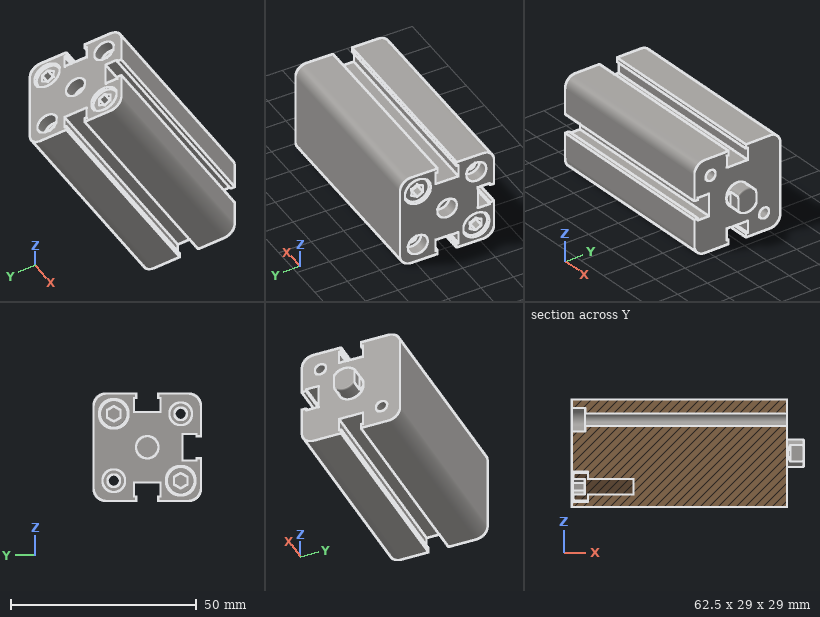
import cadquery as cq
import math

OVERALL_LENGTH = 62.5

HOUSING_LENGTH = 58.0
HOUSING_SIDE = 29.0
CORNER_RADIUS = 3.5

SLOT_OPENING = 5.8
SLOT_INNER_WIDTH = 7.0
SLOT_DEPTH = 5.0
SLOT_LIP = 1.3
SLOT_SIDES = (0, -90, 180)

HOLE_OFFSET = 9.0
CENTRE_BORE_DIAMETER = 6.0
CENTRE_BORE_DEPTH = 4.0
THROUGH_HOLE_DIAMETER = 3.3
COUNTERBORE_DIAMETER = 6.1
COUNTERBORE_DEPTH = 3.6

HEAD_DIAMETER = 7.5
HEAD_HEIGHT = 4.0
HEAD_EDGE_RADIUS = 0.5
HEAD_RECESS = 0.4
HEAD_POCKET_DIAMETER = 8.0
SOCKET_ACROSS_FLATS = 3.55
SOCKET_DEPTH = 3.1
SHANK_DIAMETER = 4.0
SHANK_LENGTH = 12.25

ROD_DIAMETER = 7.5
ROD_PROTRUSION = OVERALL_LENGTH - HOUSING_LENGTH
ROD_INSERTION = 12.25
ROD_TIP_RADIUS = 0.5
ROD_ACROSS_FLATS = 6.0
ROD_FLAT_LENGTH = 3.55

SCREW_PLACES = ((HOLE_OFFSET, HOLE_OFFSET), (-HOLE_OFFSET, -HOLE_OFFSET))
THROUGH_HOLE_PLACES = ((-HOLE_OFFSET, HOLE_OFFSET), (HOLE_OFFSET, -HOLE_OFFSET))


def cylinder(diameter, start, length, y=0, z=0):
    """Cylinder along +X that begins at X = start."""
    return cq.Workplane("YZ", origin=(start, y, z)).circle(diameter / 2).extrude(length)


def sensor_slot(angle):
    """Cutter for one T slot, turned about X from the -Z side."""
    side = -HOUSING_SIDE / 2
    opening = cq.Workplane("XY").box(
        HOUSING_LENGTH, SLOT_OPENING, SLOT_DEPTH, centered=(False, True, False)
    )
    channel = cq.Workplane("XY", origin=(0, 0, SLOT_LIP)).box(
        HOUSING_LENGTH, SLOT_INNER_WIDTH, SLOT_DEPTH - SLOT_LIP, centered=(False, True, False)
    )
    slot = opening.union(channel).translate((0, 0, side))
    return slot.rotate((0, 0, 0), (1, 0, 0), angle)


def make_housing():
    body = (
        cq.Workplane("YZ")
        .rect(HOUSING_SIDE, HOUSING_SIDE)
        .extrude(HOUSING_LENGTH)
        .edges("|X")
        .fillet(CORNER_RADIUS)
    )
    for angle in SLOT_SIDES:
        body = body.cut(sensor_slot(angle))

    body = body.cut(cylinder(CENTRE_BORE_DIAMETER, 0, CENTRE_BORE_DEPTH))
    for y, z in THROUGH_HOLE_PLACES:
        body = body.cut(cylinder(THROUGH_HOLE_DIAMETER, 0, HOUSING_LENGTH, y, z))
        body = body.cut(cylinder(COUNTERBORE_DIAMETER, 0, COUNTERBORE_DEPTH, y, z))

    pocket_depth = HEAD_RECESS + HEAD_HEIGHT
    for y, z in SCREW_PLACES:
        body = body.cut(cylinder(HEAD_POCKET_DIAMETER, 0, pocket_depth, y, z))
        body = body.cut(cylinder(SHANK_DIAMETER, pocket_depth, SHANK_LENGTH, y, z))

    return body.cut(cylinder(ROD_DIAMETER, HOUSING_LENGTH - ROD_INSERTION, ROD_INSERTION))


def make_screw(y, z):
    """Socket-head screw with its head just inside the housing back face."""
    head = cylinder(HEAD_DIAMETER, HEAD_RECESS, HEAD_HEIGHT, y, z)
    head = head.faces("<X").edges().fillet(HEAD_EDGE_RADIUS)
    shank = cylinder(SHANK_DIAMETER, HEAD_RECESS + HEAD_HEIGHT, SHANK_LENGTH, y, z)
    socket_across_corners = SOCKET_ACROSS_FLATS / math.cos(math.pi / 6)
    socket = (
        cq.Workplane("YZ", origin=(HEAD_RECESS, y, z))
        .transformed(rotate=(0, 0, 90))
        .polygon(6, socket_across_corners)
        .extrude(SOCKET_DEPTH)
    )
    return head.union(shank).cut(socket)


def make_rod():
    """Piston rod with a rounded tip edge and two wrench flats, facing -Y and +Y."""
    start = HOUSING_LENGTH - ROD_INSERTION
    tip = HOUSING_LENGTH + ROD_PROTRUSION
    radius = ROD_DIAMETER / 2
    rod = cylinder(ROD_DIAMETER, start, tip - start).faces(">X").edges().fillet(ROD_TIP_RADIUS)

    flat = ROD_ACROSS_FLATS / 2
    flat_start = tip - ROD_FLAT_LENGTH
    runout = radius - flat
    flat_cutter = (
        cq.Workplane("XY")
        .moveTo(flat_start, flat)
        .lineTo(tip, flat)
        .lineTo(tip, radius)
        .lineTo(flat_start - runout, radius)
        .close()
        .extrude(radius, both=True)
    )
    return rod.cut(flat_cutter).cut(flat_cutter.mirror("XZ"))


housing = make_housing()
screws = [make_screw(y, z) for y, z in SCREW_PLACES]
rod = make_rod()

result = cq.Compound.makeCompound([housing.val(), *[screw.val() for screw in screws], rod.val()])